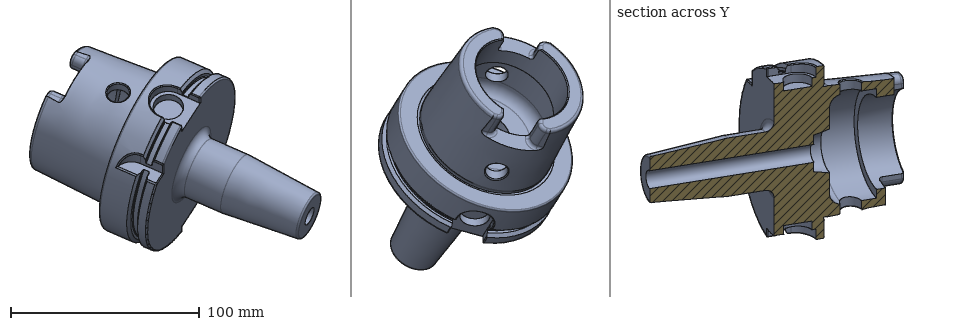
import cadquery as cq


total_length = 150
shank_length = 50.0
flange_width = 29.0
barrel_end_x = 55.6
tip_x = total_length - shank_length
groove_x = 20.1
socket_floor_x = -3.0
port_floor_x = 6.0

shank_base_radius = 38.1
taper_slope = 1 / 20
shank_end_radius = shank_base_radius - shank_length * taper_slope
relief_radius = 37.8
relief_length = 1.6
face_relief_radius = 39.5
face_relief_depth = 0.6
flange_radius = 100.0 / 2
flange_fillet = 0.9
shank_end_fillet = 2.0

groove_floor_radius = 45.9
groove_floor_half_width = 2.0
groove_mouth_half_width = 3.3
groove_flare_depth = 2.1
groove_corner = 0.5

barrel_radius = 34.0 / 2
neck_fillet = 5.0
tip_radius = 13.5
tip_fillet = 1.0

mouth_radius = 53.0 / 2
mouth_chamfer = 0.6
mouth_length = 20.2
undercut_radius = 63 / 2
socket_fillet = 6.9
port_rim_radius = 12.6
port_radius = 21 / 2
bore_radius = 10.0 / 2

shank_slot_half_width = 10.0
shank_slot_shoulder_z = 31.6
shank_slot_shoulder_radius = 4.2
shank_slot_floor_fillet = 2.0
upper_shank_slot_depth = 10.0
lower_shank_slot_depth = 15.0

cross_hole_x = -15.0
cross_hole_radius = 12 / 2
cross_hole_chamfer = 0.6

pocket_x = 15.2
pocket_radius = 10.0
pocket_rim = 0.6
drive_pocket_floor_z = 44.0
notch_wall_y = -31.4
notch_floor_z = 31.0
recess_radius = 16.0 / 2
recess_depth = 5.0

reach = 2 * flange_radius


def revolve_about_x(outline):
    return outline.close().revolve(360, (0, 0, 0), (1, 0, 0))


def holder_body():
    taper_end_radius = shank_base_radius - relief_length * taper_slope
    outline = (
        cq.Workplane("XY")
        .moveTo(-shank_length, 0)
        .lineTo(-shank_length, shank_end_radius)
        .lineTo(-relief_length, taper_end_radius)
        .lineTo(-relief_length / 2, relief_radius)
        .lineTo(face_relief_depth, relief_radius)
        .lineTo(0, face_relief_radius)
        .lineTo(0, flange_radius - flange_fillet)
        .radiusArc((flange_fillet, flange_radius), flange_fillet)
        .lineTo(flange_width - flange_fillet, flange_radius)
        .radiusArc((flange_width, flange_radius - flange_fillet), flange_fillet)
        .lineTo(flange_width, barrel_radius + neck_fillet)
        .radiusArc((flange_width + neck_fillet, barrel_radius), -neck_fillet)
        .lineTo(barrel_end_x, barrel_radius)
        .lineTo(tip_x - tip_fillet, tip_radius)
        .radiusArc((tip_x, tip_radius - tip_fillet), tip_fillet)
        .lineTo(tip_x, 0)
    )
    return revolve_about_x(outline)


def socket():
    mouth_end_x = mouth_length - shank_length
    outline = (
        cq.Workplane("XY")
        .moveTo(-shank_length, 0)
        .lineTo(-shank_length, mouth_radius + mouth_chamfer)
        .lineTo(mouth_chamfer - shank_length, mouth_radius)
        .lineTo(mouth_end_x, mouth_radius)
        .lineTo(mouth_end_x, undercut_radius)
        .lineTo(socket_floor_x - socket_fillet, undercut_radius)
        .radiusArc((socket_floor_x, undercut_radius - socket_fillet), socket_fillet)
        .lineTo(socket_floor_x, port_rim_radius)
        .lineTo(port_floor_x, port_radius)
        .lineTo(port_floor_x, bore_radius)
        .lineTo(tip_x, bore_radius)
        .lineTo(tip_x, 0)
    )
    return revolve_about_x(outline)


def gripper_groove():
    flare_radius = flange_radius - groove_flare_depth
    corner_radius = groove_floor_radius + groove_corner
    half_floor = groove_floor_half_width - groove_corner
    outline = (
        cq.Workplane("XY")
        .moveTo(groove_x - groove_mouth_half_width, reach)
        .lineTo(groove_x - groove_mouth_half_width, flange_radius)
        .lineTo(groove_x - groove_floor_half_width, flare_radius)
        .lineTo(groove_x - groove_floor_half_width, corner_radius)
        .lineTo(groove_x - half_floor, groove_floor_radius)
        .lineTo(groove_x + half_floor, groove_floor_radius)
        .lineTo(groove_x + groove_floor_half_width, corner_radius)
        .lineTo(groove_x + groove_floor_half_width, flare_radius)
        .lineTo(groove_x + groove_mouth_half_width, flange_radius)
        .lineTo(groove_x + groove_mouth_half_width, reach)
    )
    return revolve_about_x(outline)


def shank_slot(depth):
    """Slot on the +Z side whose walls roll over outward onto flat shoulders."""
    shoulder_y = shank_slot_half_width + shank_slot_shoulder_radius
    roll_start_z = shank_slot_shoulder_z - shank_slot_shoulder_radius
    outline = (
        cq.Workplane("YZ", origin=(-shank_length, 0, 0))
        .moveTo(-shank_slot_half_width, 0)
        .lineTo(-shank_slot_half_width, roll_start_z)
        .radiusArc((-shoulder_y, shank_slot_shoulder_z), -shank_slot_shoulder_radius)
        .lineTo(-reach, shank_slot_shoulder_z)
        .lineTo(-reach, reach)
        .lineTo(reach, reach)
        .lineTo(reach, shank_slot_shoulder_z)
        .lineTo(shoulder_y, shank_slot_shoulder_z)
        .radiusArc((shank_slot_half_width, roll_start_z), -shank_slot_shoulder_radius)
        .lineTo(shank_slot_half_width, 0)
        .close()
    )
    return outline.extrude(depth).faces(">X").edges().fillet(shank_slot_floor_fillet)


def round_ended_pocket(center_y, floor_z):
    """Vertical-walled pocket with a round end, open toward +X and +Z."""
    length = reach - pocket_x
    end = cq.Workplane("XY", origin=(pocket_x, center_y, floor_z)).circle(pocket_radius).extrude(reach)
    run = (
        cq.Workplane("XY", origin=(pocket_x, center_y, floor_z))
        .rect(length, 2 * pocket_radius)
        .extrude(reach)
        .translate((length / 2, 0, 0))
    )
    return end.union(run)


def chip_recess():
    top_z = drive_pocket_floor_z
    return (
        cq.Workplane("XY", origin=(pocket_x, 0, top_z - recess_depth))
        .circle(recess_radius)
        .extrude(recess_depth)
    )


def cut_cross_hole(body):
    """Drill straight through the solid shank and chamfer both hole rims."""
    hole = (
        cq.Workplane("XY", origin=(cross_hole_x, 0, -reach))
        .circle(cross_hole_radius)
        .extrude(2 * reach)
    )
    half_span = cross_hole_radius + cross_hole_chamfer
    rim_zone = cq.selectors.BoxSelector(
        (cross_hole_x - half_span, -half_span, -flange_radius),
        (cross_hole_x + half_span, half_span, flange_radius),
        boundingbox=True,
    )
    return body.cut(hole).edges(rim_zone).edges("not |Z").chamfer(cross_hole_chamfer)


def flip_to_underside(tool):
    return tool.rotate((0, 0, 0), (1, 0, 0), 180)


def break_pocket_rims(body):
    """Chamfer the pocket edges that lie on the flange's outer cylinder."""
    margin = 1.5 * flange_fillet
    rim_zone = cq.selectors.BoxSelector(
        (margin, -reach, -reach),
        (flange_width - margin, reach, reach),
    )
    outer_cylinder = body.faces("%CYLINDER").sort(lambda face: face.Area())[-1]
    return outer_cylinder.edges(rim_zone).chamfer(pocket_rim)


body = holder_body()

drive_pocket = round_ended_pocket(0, drive_pocket_floor_z)
notch = round_ended_pocket(notch_wall_y - pocket_radius, notch_floor_z)
body = body.cut(drive_pocket).cut(flip_to_underside(drive_pocket)).cut(notch)
body = break_pocket_rims(body)
body = body.cut(gripper_groove())
body = body.cut(chip_recess()).cut(flip_to_underside(chip_recess()))

body = body.cut(shank_slot(upper_shank_slot_depth))
body = body.cut(flip_to_underside(shank_slot(lower_shank_slot_depth)))
body = body.faces("<X").edges().fillet(shank_end_fillet)
body = cut_cross_hole(body)
result = body.cut(socket())